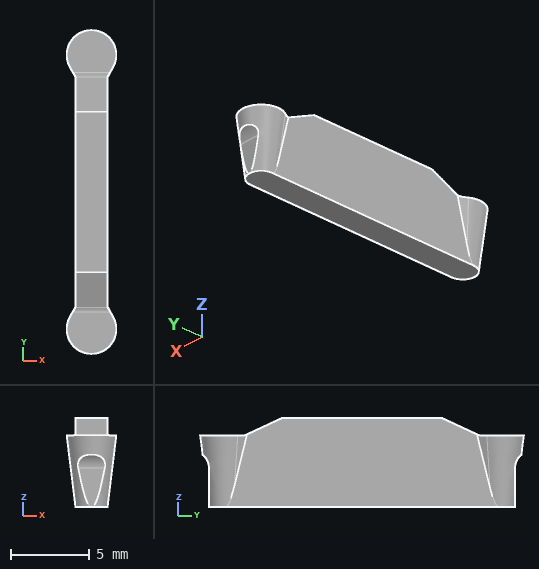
import cadquery as cq
import math

length = 20.68
height = 5.69
bar_width = 2.07
head_height = 4.57
head_diameter = 3.18

clearance_angle = 7.0
neck_angle = 30.0

crest_length = 10.22
ramp_angle = 25.0
ramp_fillet = 0.7
pick_margin = 0.02

relief_height = 2.5
relief_radius = 1.08

head_radius = head_diameter / 2
head_y = length / 2 - head_radius
taper = math.tan(math.radians(clearance_angle))
base_radius = head_radius - head_height * taper
ramp_foot_y = crest_length / 2 + (height - head_height) / math.tan(math.radians(ramp_angle))


def make_bar():
    """Plain bar running between the head axes."""
    return cq.Workplane("XY").box(bar_width, 2 * head_y, height, centered=(True, True, False))


def make_head():
    """Tapered round head at the +Y end."""
    cone = cq.Solid.makeCone(base_radius, head_radius, head_height, cq.Vector(0, head_y, 0))
    return cq.Workplane("XY").newObject([cone])


def neck_section(level):
    """Triangle tangent to the head at a level, pointing toward the middle of the bar."""
    radius = head_radius - (head_height - level) * taper
    angle = math.radians(neck_angle)
    tangent_x = radius * math.cos(angle)
    tangent_y = head_y - radius * math.sin(angle)
    tip_y = head_y - radius / math.sin(angle)
    return cq.Wire.makePolygon(
        [
            cq.Vector(-tangent_x, tangent_y, level),
            cq.Vector(0, tip_y, level),
            cq.Vector(tangent_x, tangent_y, level),
        ],
        close=True,
    )


def make_neck():
    """Drafted flanks that blend the head into the bar."""
    sections = [neck_section(0), neck_section(height)]
    return cq.Workplane("XY").newObject([cq.Solid.makeLoft(sections, True)])


def make_side_profile():
    """Side profile, extruded past the head width, with blends at the feet of the ramps."""
    profile = (
        cq.Workplane("YZ")
        .moveTo(-length / 2, 0)
        .lineTo(length / 2, 0)
        .lineTo(length / 2, head_height)
        .lineTo(ramp_foot_y, head_height)
        .lineTo(crest_length / 2, height)
        .lineTo(-crest_length / 2, height)
        .lineTo(-ramp_foot_y, head_height)
        .lineTo(-length / 2, head_height)
        .close()
        .extrude(head_diameter, both=True)
    )
    foot_edges = cq.selectors.BoxSelector(
        (-2 * head_diameter, -head_y, head_height - pick_margin),
        (2 * head_diameter, head_y, head_height + pick_margin),
    )
    return profile.edges(foot_edges).fillet(ramp_fillet)


def make_relief():
    """Upright flat on the outer end of the +Y head, running out through an arc above."""
    flat_y = head_y + base_radius
    arc_end = (flat_y + relief_radius, relief_height + relief_radius)
    return (
        cq.Workplane("YZ")
        .moveTo(flat_y, 0)
        .lineTo(flat_y, relief_height)
        .tangentArcPoint(arc_end, relative=False)
        .lineTo(flat_y + relief_radius, 0)
        .close()
        .extrude(head_radius, both=True)
    )


end = make_head().union(make_neck()).cut(make_relief())
body = make_bar().union(end).union(end.mirror("XZ"))
result = body.intersect(make_side_profile())